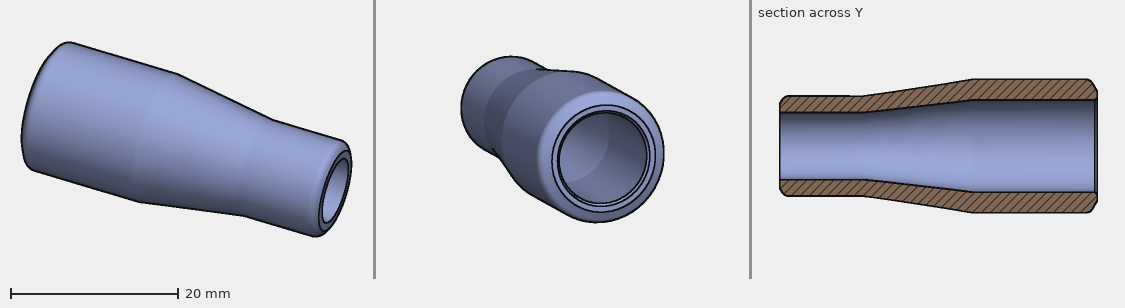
import cadquery as cq
import math

LENGTH = 38.0
GRIP_RADIUS = 16.0 / 2
SPIGOT_RADIUS = 12.0 / 2

NECK_START = 15.0
NECK_END = 28.0
NECK_BLEND_RADIUS = 1.0

GRIP_FACE_RADIUS = 6.5
SPIGOT_FACE_RADIUS = 5.0
END_CONE_ANGLE = math.radians(60)
END_ROUND_RADIUS = 1.0

BORE_RADIUS = 11.0 / 2
HOLE_RADIUS = 8.0 / 2
MOUTH_CHAMFER = 0.3


def end_round(face_radius, body_radius):
    """Return (axial distance from the face, radius) of the cone top, arc middle and arc end."""
    cone_top_radius = body_radius - END_ROUND_RADIUS * (1 - math.cos(END_CONE_ANGLE))
    cone_length = (cone_top_radius - face_radius) / math.tan(END_CONE_ANGLE)
    arc_end = cone_length + END_ROUND_RADIUS * math.sin(END_CONE_ANGLE)
    half_angle = END_CONE_ANGLE / 2
    arc_middle = arc_end - END_ROUND_RADIUS * math.sin(half_angle)
    arc_middle_radius = body_radius - END_ROUND_RADIUS * (1 - math.cos(half_angle))
    return (cone_length, cone_top_radius), (arc_middle, arc_middle_radius), (arc_end, body_radius)


def blend_neck(body):
    """Round the shallow edges where the neck meets the grip and the spigot."""
    grip_edge = cq.selectors.NearestToPointSelector((NECK_START, 0, 0))
    spigot_edge = cq.selectors.NearestToPointSelector((NECK_END, 0, 0))
    neck_edges = body.edges("%CIRCLE").edges(grip_edge + spigot_edge)
    return neck_edges.fillet(NECK_BLEND_RADIUS)


def revolve_about_x(profile):
    return profile.close().revolve(360, (0, 0, 0), (1, 0, 0))


def make_body():
    grip_round = end_round(GRIP_FACE_RADIUS, GRIP_RADIUS)
    spigot_round = [(LENGTH - x, r) for x, r in end_round(SPIGOT_FACE_RADIUS, SPIGOT_RADIUS)]
    cone_top, arc_middle, arc_end = grip_round
    spigot_cone_top, spigot_arc_middle, spigot_arc_end = spigot_round
    profile = (
        cq.Workplane("XY")
        .moveTo(0, 0)
        .lineTo(0, GRIP_FACE_RADIUS)
        .lineTo(*cone_top)
        .threePointArc(arc_middle, arc_end)
        .lineTo(NECK_START, GRIP_RADIUS)
        .lineTo(NECK_END, SPIGOT_RADIUS)
        .lineTo(*spigot_arc_end)
        .threePointArc(spigot_arc_middle, spigot_cone_top)
        .lineTo(LENGTH, SPIGOT_FACE_RADIUS)
        .lineTo(LENGTH, 0)
    )
    return revolve_about_x(profile)


def make_bore():
    profile = (
        cq.Workplane("XY")
        .moveTo(0, 0)
        .lineTo(0, BORE_RADIUS + MOUTH_CHAMFER)
        .lineTo(MOUTH_CHAMFER, BORE_RADIUS)
        .lineTo(NECK_START, BORE_RADIUS)
        .lineTo(NECK_END, HOLE_RADIUS)
        .lineTo(LENGTH, HOLE_RADIUS)
        .lineTo(LENGTH, 0)
    )
    return revolve_about_x(profile)


result = blend_neck(make_body()).cut(make_bore())